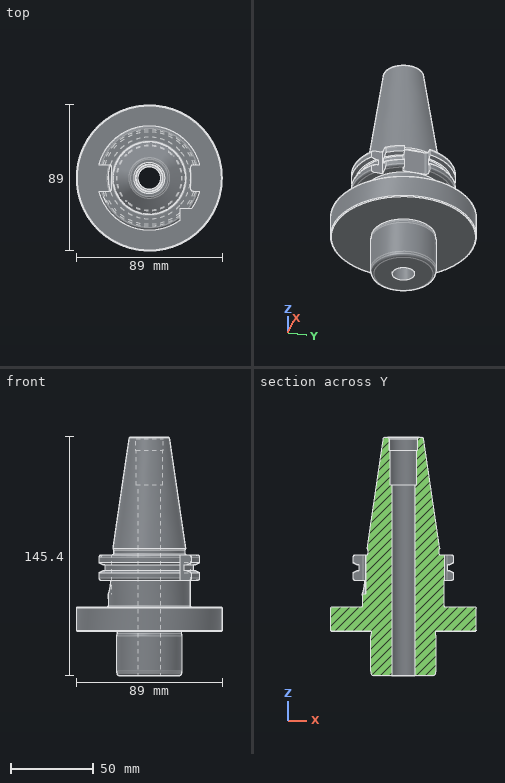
import cadquery as cq
import math

taper_length = 68.3
flange_top = -3.3
flange_bottom = -19.0
collar_top = -35.0
collar_bottom = -50.0
overall_length = 145.4
pilot_end = taper_length - overall_length

gauge_radius = 22.2
taper_ratio = 7 / 24
taper_tip_radius = gauge_radius - taper_length * taper_ratio / 2
tip_rounding = 1.0
taper_end = 0.6
neck_radius = 21.8
neck_top = -0.3
neck_fillet = 0.9

flange_diameter = 63.5
flange_radius = flange_diameter / 2
flange_rounding = 1.6
groove_center = (flange_top + flange_bottom) / 2
groove_mouth_width = 6.3
groove_floor_width = 3.5
groove_floor_radius = 28.2
groove_wall_angle = 30.0
groove_wall_height = (groove_mouth_width - groove_floor_width) / 2
groove_wall_radius = flange_radius - groove_wall_height / math.tan(math.radians(groove_wall_angle))

body_radius = 25.0
body_fillet = 0.7
collar_radius = 44.5
collar_chamfer = 0.6
pilot_radius = 20.0
relief_radius = 19.6
relief_length = 1.2
relief_run_out = 1.6
pilot_lead_start = 3.0
pilot_lead_inset = 0.3
pilot_rounding = 1.7

slot_width = 16.1
slot_corner_radius = 1.6
deep_slot_floor = 23.0
shallow_slot_floor = 25.2
notch_offset = 18.6

bore_radius = 6.8
thread_radius = 8.0
thread_depth = 29.1
counterbore_radius = 8.5
counterbore_depth = 8.1
counterbore_chamfer = 1.0


def turned_body():
    """Revolve the outer half profile around Z."""
    mouth_top = groove_center + groove_mouth_width / 2
    mouth_bottom = groove_center - groove_mouth_width / 2
    floor_top = groove_center + groove_floor_width / 2
    floor_bottom = groove_center - groove_floor_width / 2
    lead_radius = pilot_radius - pilot_lead_inset
    relief_end = collar_bottom - relief_length
    profile = (
        cq.Workplane("XZ")
        .moveTo(0, pilot_end)
        .lineTo(lead_radius - pilot_rounding, pilot_end)
        .radiusArc((lead_radius, pilot_end + pilot_rounding), -pilot_rounding)
        .lineTo(pilot_radius, pilot_end + pilot_lead_start)
        .lineTo(pilot_radius, relief_end - relief_run_out)
        .lineTo(relief_radius, relief_end)
        .lineTo(relief_radius, collar_bottom)
        .lineTo(collar_radius - collar_chamfer, collar_bottom)
        .lineTo(collar_radius, collar_bottom + collar_chamfer)
        .lineTo(collar_radius, collar_top - collar_chamfer)
        .lineTo(collar_radius - collar_chamfer, collar_top)
        .lineTo(body_radius + body_fillet, collar_top)
        .radiusArc((body_radius, collar_top + body_fillet), body_fillet)
        .lineTo(body_radius, flange_bottom)
        .lineTo(flange_radius - flange_rounding, flange_bottom)
        .radiusArc((flange_radius, flange_bottom + flange_rounding), -flange_rounding)
        .lineTo(flange_radius, mouth_bottom)
        .lineTo(groove_wall_radius, floor_bottom)
        .lineTo(groove_floor_radius, floor_bottom)
        .lineTo(groove_floor_radius, floor_top)
        .lineTo(groove_wall_radius, floor_top)
        .lineTo(flange_radius, mouth_top)
        .lineTo(flange_radius, flange_top - flange_rounding)
        .radiusArc((flange_radius - flange_rounding, flange_top), -flange_rounding)
        .lineTo(neck_radius + neck_fillet, flange_top)
        .radiusArc((neck_radius, flange_top + neck_fillet), neck_fillet)
        .lineTo(neck_radius, neck_top)
        .lineTo(gauge_radius, taper_end)
        .lineTo(taper_tip_radius, taper_length)
        .lineTo(0, taper_length)
        .close()
    )
    turned = profile.revolve(360, (0, 0, 0), (0, 1, 0))
    return turned.faces(">Z").edges().fillet(tip_rounding)


def drive_slot(floor_distance, side):
    """Cutter for a slot open upward with a round lower end; side is +1 or -1 along X."""
    height = flange_top - flange_bottom
    reach = collar_radius - floor_distance
    channel = (
        cq.Workplane("XY")
        .box(reach, slot_width, height + slot_width / 2, centered=(False, True, False))
        .edges("|Z and <X")
        .fillet(slot_corner_radius)
        .translate((floor_distance, 0, flange_bottom - slot_width / 2))
    )
    round_end = (
        cq.Workplane("YZ", origin=(floor_distance, 0, flange_bottom))
        .circle(slot_width / 2)
        .extrude(reach)
    )
    straight = (
        cq.Workplane("YZ", origin=(floor_distance, 0, flange_bottom + height / 2))
        .rect(slot_width, height)
        .extrude(reach)
    )
    cutter = channel.intersect(round_end.union(straight))
    return cutter if side > 0 else cutter.mirror("YZ")


def orientation_notch():
    """Cutter for the square corner notch through the flange at +X, -Y."""
    size = flange_radius
    return (
        cq.Workplane("XY")
        .box(size, size, flange_top - flange_bottom, centered=False)
        .translate((notch_offset, -notch_offset - size, flange_bottom))
    )


def axial_bore():
    """Cutter for the through bore with a plain thread bore and chamfered counterbore in the taper tip."""
    counterbore_floor = taper_length - counterbore_depth
    thread_end = taper_length - thread_depth
    profile = (
        cq.Workplane("XZ")
        .moveTo(0, pilot_end)
        .lineTo(bore_radius, pilot_end)
        .lineTo(bore_radius, thread_end)
        .lineTo(thread_radius, thread_end)
        .lineTo(thread_radius, counterbore_floor)
        .lineTo(counterbore_radius, counterbore_floor)
        .lineTo(counterbore_radius, taper_length - counterbore_chamfer)
        .lineTo(counterbore_radius + counterbore_chamfer, taper_length)
        .lineTo(0, taper_length)
        .close()
    )
    return profile.revolve(360, (0, 0, 0), (0, 1, 0))


result = (
    turned_body()
    .cut(drive_slot(deep_slot_floor, -1))
    .cut(drive_slot(shallow_slot_floor, 1))
    .cut(orientation_notch())
    .cut(axial_bore())
)